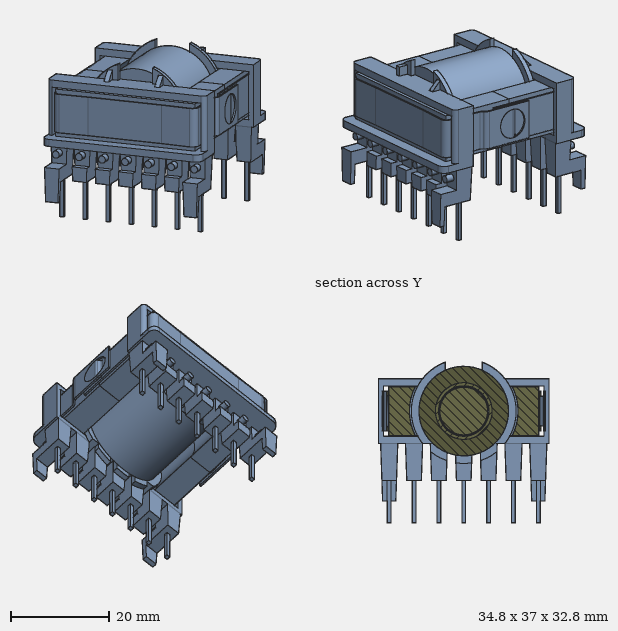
import cadquery as cq
import math


CORE_WIDTH = 30.65
CORE_HEIGHT = 10.0
CORE_HALF_LENGTH = 16.1
CENTRE_LEG_DIAMETER = 9.8
WINDOW_DIAMETER = 22.13
WINDOW_HALF_LENGTH = 11.0

BORE_DIAMETER = 10.2
BARREL_WALL = 0.75
BARREL_DIAMETER = BORE_DIAMETER + 2 * BARREL_WALL
WINDING_DIAMETER = 18.3
WINDING_HALF_LENGTH = 9.55
FLANGE_DIAMETER = 21.4
FLANGE_THICKNESS = 1.07
FLANGE_OUTER_Y = WINDING_HALF_LENGTH + FLANGE_THICKNESS
LEAD_NOTCH_WIDTH = 7.55

FRAME_WIDTH = 34.8
FRAME_OUTER_Y = 15.45
FRAME_WALL = 1.5
FRAME_CORNER_RADIUS = 1.0
OPENING_WIDTH = 32.7
OPENING_HEIGHT = BORE_DIAMETER
FRAME_HALF_HEIGHT = OPENING_HEIGHT / 2 + FRAME_WALL
PLATE_OUTER_Y = 18.5
PLATE_CORNER_RADIUS = 1.55

GUSSET_SPACING = 11.17
GUSSET_WIDTH = 1.07
GUSSET_SIZE = 2.0

PIN_COUNT = 7
PIN_PITCH = 5.07
POST_WIDTH = 3.55
POST_OUTER_Y = 14.6
POST_BOTTOM_Z = -14.17
POST_DRAFT = 2.0
POST_DEPTH = POST_OUTER_Y - FLANGE_OUTER_Y
POST_HEIGHT = -FRAME_HALF_HEIGHT - POST_BOTTOM_Z
POST_MIDDLE_Y = (POST_OUTER_Y + FLANGE_OUTER_Y) / 2
FLANGE_TAB_WIDTH = 3.33
LEDGE_TOP_Z = -11.17
LEDGE_OUTER_Y = 15.9
FOOT_BOTTOM_Z = -18.4
FOOT_THICKNESS = 1.1
FOOT_TIP_THICKNESS = 1.0

PIN_SIZE = 0.8
PIN_Y = 12.73
PIN_BOTTOM_Z = -22.83
PEG_DIAMETER = 1.5
PEG_Z = -8.85
PEG_OUTER_Y = 16.28

SHEET = 0.37
CLIP_HEIGHT = 8.15
ARM_X = 15.6
ARM_END_Y = 4.15
JOGGLE_OFFSET = 0.85
JOGGLE_RUN = 0.78
ARM_JOGGLE_Y = -6.9
ARM_JOGGLE_RADIUS = 1.2
CLIP_CORNER_Y = -16.55
CLIP_CORNER_RADIUS = 1.2
PRESSED_HALF_WIDTH = 8.05
LATCH_DIAMETER = 6.2
TONGUE_JOGGLE_Y = -1.07
TONGUE_BEND_RADIUS = 0.55


def box(x_range, y_range, z_range):
    """Axis-aligned block between pairs of coordinates."""
    sizes = [high - low for low, high in (x_range, y_range, z_range)]
    return (
        cq.Workplane("XY")
        .box(*sizes, centered=False)
        .translate((x_range[0], y_range[0], z_range[0]))
    )


def wide_box(width, y_range, z_range):
    """Block centred on X = 0."""
    return box((-width / 2, width / 2), y_range, z_range)


def y_cylinder(diameter, y_start, y_end):
    """Cylinder around the winding axis."""
    return (
        cq.Workplane("XZ", origin=(0, y_start, 0))
        .circle(diameter / 2)
        .extrude(y_start - y_end)
    )


def opposite(body):
    """The same body turned half a turn around Z, to the other end of the transformer."""
    return body.rotate((0, 0, 0), (0, 0, 1), 180)


def make_core_half(clip):
    """E-shaped half whose outer corners are relieved where the bends of its clip bear on them."""
    half_height = CORE_HEIGHT / 2
    block = wide_box(CORE_WIDTH, (-CORE_HALF_LENGTH, 0), (-half_height, half_height))
    window = y_cylinder(WINDOW_DIAMETER, -WINDOW_HALF_LENGTH, 0)
    centre_leg = y_cylinder(CENTRE_LEG_DIAMETER, -WINDOW_HALF_LENGTH, 0)
    return block.cut(window).union(centre_leg).cut(clip)


def make_winding():
    outside = y_cylinder(WINDING_DIAMETER, -WINDING_HALF_LENGTH, WINDING_HALF_LENGTH)
    return outside.cut(y_cylinder(BARREL_DIAMETER, -WINDING_HALF_LENGTH, WINDING_HALF_LENGTH))



PIN_XS = [(i - (PIN_COUNT - 1) / 2) * PIN_PITCH for i in range(PIN_COUNT)]
CORNER_PIN_XS = (PIN_XS[0], PIN_XS[-1])
FLANGE_Y_RANGE = (-FLANGE_OUTER_Y, -WINDING_HALF_LENGTH)


def make_flange():
    """Disc notched between two horns above the frame and cut to three tabs below it."""
    radius = FLANGE_DIAMETER / 2
    disc = y_cylinder(FLANGE_DIAMETER, *FLANGE_Y_RANGE)
    kept = wide_box(FLANGE_DIAMETER, FLANGE_Y_RANGE, (-FRAME_HALF_HEIGHT, radius))
    for x in (-PIN_PITCH, 0, PIN_PITCH):
        tab = wide_box(FLANGE_TAB_WIDTH, FLANGE_Y_RANGE, (-radius, 0)).translate((x, 0, 0))
        kept = kept.union(tab)
    notch = wide_box(LEAD_NOTCH_WIDTH, FLANGE_Y_RANGE, (FRAME_HALF_HEIGHT, radius))
    return disc.intersect(kept).cut(notch)


def make_end_frame():
    half_opening = OPENING_HEIGHT / 2
    frame = wide_box(
        FRAME_WIDTH, (-FRAME_OUTER_Y, -FLANGE_OUTER_Y), (-FRAME_HALF_HEIGHT, FRAME_HALF_HEIGHT)
    )
    frame = frame.edges("|Z and <Y").fillet(FRAME_CORNER_RADIUS)
    plate = wide_box(
        FRAME_WIDTH, (-PLATE_OUTER_Y, -FLANGE_OUTER_Y), (-FRAME_HALF_HEIGHT, -half_opening)
    )
    plate = plate.edges("|Z and <Y").fillet(PLATE_CORNER_RADIUS)
    opening = wide_box(
        OPENING_WIDTH, (-PLATE_OUTER_Y, -FLANGE_OUTER_Y), (-half_opening, half_opening)
    )
    return frame.union(plate).cut(opening)


def make_gusset(x):
    """Triangular brace with its slope facing away from the flange."""
    return (
        cq.Workplane("YZ", origin=(x - GUSSET_WIDTH / 2, -FLANGE_OUTER_Y, FRAME_HALF_HEIGHT))
        .polyline([(0, 0), (-GUSSET_SIZE, 0), (0, GUSSET_SIZE)])
        .close()
        .extrude(GUSSET_WIDTH)
    )


def make_square_brace(x):
    """Rectangular brace of the same size as a gusset."""
    return wide_box(
        GUSSET_WIDTH,
        (-FLANGE_OUTER_Y - GUSSET_SIZE, -FLANGE_OUTER_Y),
        (FRAME_HALF_HEIGHT, FRAME_HALF_HEIGHT + GUSSET_SIZE),
    ).translate((x, 0, 0))


def make_post():
    """Drafted terminal post below the base plate."""
    return (
        cq.Workplane("XY", origin=(0, -POST_MIDDLE_Y, -FRAME_HALF_HEIGHT))
        .rect(POST_WIDTH, POST_DEPTH)
        .extrude(-POST_HEIGHT, taper=POST_DRAFT)
    )


def drafted_slab(bottom_z, outer_y):
    """Slab in front of the post axis whose sides continue the draft of the post."""
    top_half = POST_WIDTH / 2
    drop = -FRAME_HALF_HEIGHT - bottom_z
    bottom_half = top_half - drop * math.tan(math.radians(POST_DRAFT))
    return (
        cq.Workplane("XZ", origin=(0, -POST_MIDDLE_Y, 0))
        .polyline(
            [
                (-top_half, -FRAME_HALF_HEIGHT),
                (top_half, -FRAME_HALF_HEIGHT),
                (bottom_half, bottom_z),
                (-bottom_half, bottom_z),
            ]
        )
        .close()
        .extrude(outer_y - POST_MIDDLE_Y)
    )


def make_ledge():
    """Short block on the outside of a post."""
    slab = drafted_slab(POST_BOTTOM_Z, LEDGE_OUTER_Y)
    band = wide_box(POST_WIDTH, (-LEDGE_OUTER_Y, -POST_MIDDLE_Y), (POST_BOTTOM_Z, LEDGE_TOP_Z))
    return slab.intersect(band)


def make_foot():
    """Hooked stand-off on the outside of a corner post."""
    hook = (
        cq.Workplane("YZ", origin=(-POST_WIDTH / 2, 0, 0))
        .polyline(
            [
                (-POST_MIDDLE_Y, LEDGE_TOP_Z),
                (-PLATE_OUTER_Y, LEDGE_TOP_Z),
                (-PLATE_OUTER_Y, FOOT_BOTTOM_Z),
                (-PLATE_OUTER_Y + FOOT_TIP_THICKNESS, FOOT_BOTTOM_Z),
                (-PLATE_OUTER_Y + FOOT_THICKNESS, POST_BOTTOM_Z),
                (-POST_MIDDLE_Y, POST_BOTTOM_Z),
            ]
        )
        .close()
        .extrude(POST_WIDTH)
    )
    return hook.intersect(drafted_slab(FOOT_BOTTOM_Z, PLATE_OUTER_Y))


def make_pin():
    """Square solder pin with the round wrapping peg above the ledge."""
    pin = wide_box(
        PIN_SIZE, (-PIN_Y - PIN_SIZE / 2, -PIN_Y + PIN_SIZE / 2), (PIN_BOTTOM_Z, POST_BOTTOM_Z)
    )
    peg = y_cylinder(PEG_DIAMETER, -PEG_OUTER_Y, -POST_MIDDLE_Y).translate((0, 0, PEG_Z))
    return pin.union(peg)


def make_terminal(x):
    outrigger = make_foot() if x in CORNER_PIN_XS else make_ledge()
    return make_post().union(outrigger).union(make_pin()).translate((x, 0, 0))


def make_bobbin_end(braces):
    end = make_flange().union(make_end_frame())
    for brace in braces:
        end = end.union(brace)
    for x in PIN_XS:
        end = end.union(make_terminal(x))
    return end


def make_bobbin():
    left_x = -GUSSET_SPACING / 2
    right_x = GUSSET_SPACING / 2
    front_end = make_bobbin_end([make_gusset(left_x), make_gusset(right_x)])
    back_end = opposite(make_bobbin_end([make_square_brace(left_x), make_gusset(right_x)]))
    barrel = y_cylinder(BARREL_DIAMETER, -FLANGE_OUTER_Y, FLANGE_OUTER_Y)
    bore = y_cylinder(BORE_DIAMETER, -FLANGE_OUTER_Y, FLANGE_OUTER_Y)
    return front_end.union(back_end).union(barrel).cut(bore)




def bent_strip(points, bends, height):
    """Sheet strip along a line of points; bends maps point indices to centre-line radii."""
    path = cq.Wire.makePolygon([cq.Vector(x, y, 0) for x, y in points])
    for index, radius in bends.items():
        corner = cq.Vector(*points[index], 0)
        vertices = [v for v in path.Vertices() if (v.Center() - corner).Length < SHEET / 10]
        path = path.fillet(radius, vertices)
    start = cq.Vector(*points[0], 0)
    direction = cq.Vector(*points[1], 0) - start
    plane = cq.Plane(origin=start, xDir=cq.Vector(0, 0, 1), normal=direction)
    return cq.Workplane(plane).rect(height, SHEET).sweep(cq.Workplane(path), transition="right")


def joggle(x, y):
    """Two corner points of an outward step on the side of the clip where x lies."""
    half_run = JOGGLE_RUN / 2
    outer_x = x + math.copysign(JOGGLE_OFFSET, x)
    return [(x, y - half_run), (outer_x, y + half_run)]


def make_clip_band():
    """Straight arm at -X, back pressed inwards onto the core, joggled arm at +X."""
    pressed_y = -CORE_HALF_LENGTH - SHEET / 2
    points = [
        (-ARM_X, ARM_END_Y),
        (-ARM_X, CLIP_CORNER_Y),
        (-PRESSED_HALF_WIDTH, pressed_y),
        (PRESSED_HALF_WIDTH, pressed_y),
        (ARM_X, CLIP_CORNER_Y),
        *joggle(ARM_X, ARM_JOGGLE_Y),
        (ARM_X + JOGGLE_OFFSET, ARM_END_Y),
    ]
    bends = {
        1: CLIP_CORNER_RADIUS,
        4: CLIP_CORNER_RADIUS,
        5: ARM_JOGGLE_RADIUS,
        6: ARM_JOGGLE_RADIUS,
    }
    return bent_strip(points, bends, CLIP_HEIGHT)


def make_latch_tongue(latch_disc):
    """Round tongue stepped out of the straight arm, flush with the joggled arm it locks."""
    reach = LATCH_DIAMETER / 2
    points = [(-ARM_X, -reach), *joggle(-ARM_X, TONGUE_JOGGLE_Y + JOGGLE_RUN / 2)]
    points.append((-ARM_X - JOGGLE_OFFSET, reach))
    strip = bent_strip(points, {1: TONGUE_BEND_RADIUS, 2: TONGUE_BEND_RADIUS}, LATCH_DIAMETER)
    return strip.intersect(latch_disc)


def make_clip():
    disc_length = 2 * JOGGLE_OFFSET + 2 * SHEET
    disc = cq.Workplane("YZ").circle(LATCH_DIAMETER / 2).extrude(disc_length / 2, both=True)
    straight_arm_disc = disc.translate((-ARM_X, 0, 0))
    latch_hole = disc.translate((ARM_X + JOGGLE_OFFSET, 0, 0))
    sheared_area = straight_arm_disc.intersect(
        box(
            (-ARM_X - disc_length, -ARM_X + disc_length),
            (TONGUE_JOGGLE_Y - JOGGLE_RUN / 2, LATCH_DIAMETER),
            (-CLIP_HEIGHT, CLIP_HEIGHT),
        )
    )
    band = make_clip_band().cut(latch_hole).cut(sheared_area)
    return band.union(make_latch_tongue(straight_arm_disc))


bobbin = make_bobbin()
winding = make_winding()
front_clip = make_clip()
clips = [front_clip, opposite(front_clip)]
front_core_half = make_core_half(front_clip)
core_halves = [front_core_half, opposite(front_core_half)]

result = cq.Compound.makeCompound(
    [
        bobbin.val(),
        winding.val(),
        *[half.val() for half in core_halves],
        *[clip.val() for clip in clips],
    ]
)